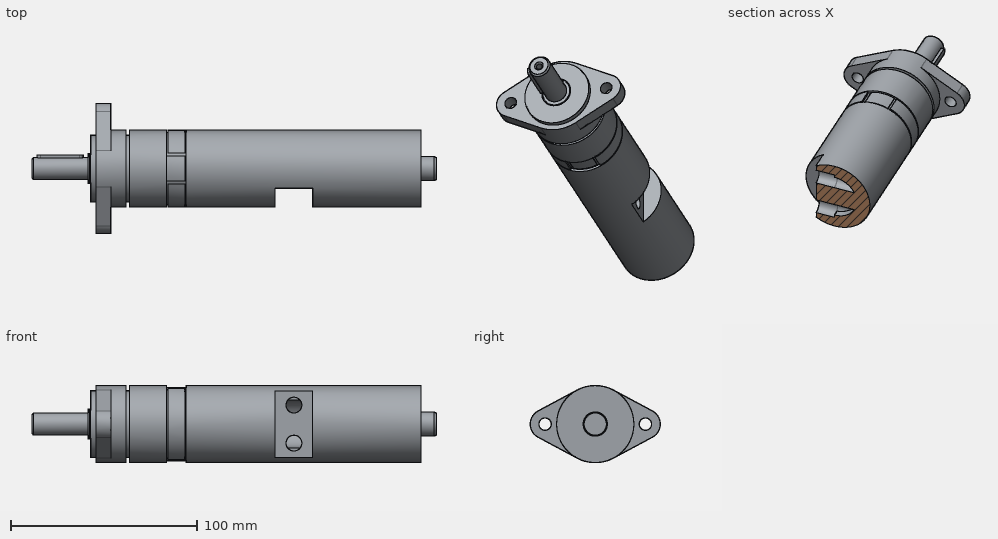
import cadquery as cq
import math

total_length = 217.5
housing_diameter = 41.5
housing_radius = housing_diameter / 2
housing_end = 209.2
cutter_margin = 2.2

shaft_diameter = 12.0
shaft_chamfer = 0.9
collar_start = 30.2
collar_length = 0.7
collar_diameter = 16.0
neck_diameter = 15.0

centre_hole_diameter = 3.3
centre_hole_depth = 10.0
countersink_diameter = 4.8
drill_point_angle = 118.0
countersink_angle = 90.0

key_start = 2.6
key_length = 25.0
key_width = 4.0
key_top = 7.5
key_bottom = 3.3

pilot_start = 31.5
pilot_diameter = 36.0
flange_start = 34.4
flange_thickness = 8.0
ear_radius = 8.0
ear_offset = 27.0
mounting_hole_diameter = 6.5

groove_start = 50.7
groove_width = 1.7
groove_diameter = 36.0

ring_start = 72.5
ring_width = 10.5
ring_gap = 0.7
ring_floor_diameter = 39.0
tab_diameter = 39.5
tab_width = 13.5
tab_slot_width = 16.5

flat_start = 130.7
flat_length = 20.2
flat_offset = 10.7
port_diameter = 8.5
port_spacing = 20.5
hollow_diameter = 25.7

rear_shaft_diameter = 13.0
rear_tip_diameter = 12.0
rear_taper_length = 1.3


def cylinder(start, length, diameter):
    """Cylinder along X on the common axis."""
    return cq.Workplane("YZ", origin=(start, 0, 0)).circle(diameter / 2).extrude(length)


def cone(start, diameter, included_angle):
    """Cone along X with its base at start, closing towards +X."""
    radius = diameter / 2
    height = radius / math.tan(math.radians(included_angle / 2))
    triangle = [(start, 0), (start, radius), (start + height, 0)]
    profile = cq.Workplane("XY").polyline(triangle).close()
    return profile.revolve(360, (0, 0, 0), (1, 0, 0))


def ring_cut(start, width, floor_diameter):
    """Annular cutter that turns the housing down to floor_diameter."""
    outer = cylinder(start, width, housing_diameter + cutter_margin)
    return outer.cut(cylinder(start, width, floor_diameter))


def make_flange_ear(side):
    """Flange ear towards side * Y, its straight edges tangent to the housing."""
    slope_sin = (housing_radius - ear_radius) / ear_offset
    slope_cos = math.sqrt(1 - slope_sin**2)
    root_y = side * housing_radius * slope_sin
    root_z = housing_radius * slope_cos
    arc_y = side * (ear_offset + ear_radius * slope_sin)
    arc_z = ear_radius * slope_cos
    ear = (
        cq.Workplane("YZ", origin=(flange_start, 0, 0))
        .moveTo(root_y, root_z)
        .lineTo(arc_y, arc_z)
        .threePointArc((side * (ear_offset + ear_radius), 0), (arc_y, -arc_z))
        .lineTo(root_y, -root_z)
        .close()
        .extrude(flange_thickness)
    )
    hole = cylinder(flange_start, flange_thickness, mounting_hole_diameter)
    return ear.cut(hole.translate((0, side * ear_offset, 0)))


def make_output_shaft():
    """Chamfered shaft with key, centre hole and collar."""
    shaft = cylinder(0, pilot_start, shaft_diameter).faces("<X").chamfer(shaft_chamfer)
    shaft = shaft.union(cylinder(collar_start, collar_length, collar_diameter))
    shaft = shaft.union(cylinder(collar_start, pilot_start - collar_start, neck_diameter))

    key_centre = key_start + key_length / 2
    key = (
        cq.Workplane("XZ", origin=(key_centre, key_top, 0))
        .slot2D(key_length, key_width)
        .extrude(key_top - key_bottom)
    )
    shaft = shaft.union(key)

    shaft = shaft.cut(cylinder(0, centre_hole_depth, centre_hole_diameter))
    shaft = shaft.cut(cone(centre_hole_depth, centre_hole_diameter, drill_point_angle))
    return shaft.cut(cone(0, countersink_diameter, countersink_angle))


def make_housing():
    """Stepped cylinder from the pilot to the rear face, with its ring groove."""
    housing = cylinder(flange_start, housing_end - flange_start, housing_diameter)
    housing = housing.union(cylinder(pilot_start, flange_start - pilot_start, pilot_diameter))
    return housing.cut(ring_cut(groove_start, groove_width, groove_diameter))


def cut_clamping_ring(housing):
    """Separate the ring by side grooves and set a tab into it at +Z and -Z."""
    right_gap_start = ring_start + ring_width - ring_gap
    for gap_start in (ring_start, right_gap_start):
        housing = housing.cut(ring_cut(gap_start, ring_gap, ring_floor_diameter))

    slots = cq.Workplane("XY").box(ring_width, tab_slot_width, housing_diameter + cutter_margin)
    slots = slots.translate((ring_start + ring_width / 2, 0, 0))
    housing = housing.cut(slots.intersect(ring_cut(ring_start, ring_width, ring_floor_diameter)))

    tab_length = ring_width - ring_gap
    tabs = cq.Workplane("XY").box(tab_length, tab_width, housing_diameter)
    tabs = tabs.translate((ring_start + tab_length / 2, 0, 0))
    return housing.union(tabs.intersect(cylinder(ring_start, tab_length, tab_diameter)))


def cut_port_flat(housing):
    """Mill the flat and bore two ports to the mid-plane, ending in a round-backed hollow."""
    flat_centre = flat_start + flat_length / 2
    flat = cq.Workplane("XY").box(flat_length, housing_radius, housing_diameter)
    housing = housing.cut(flat.translate((flat_centre, -flat_offset - housing_radius / 2, 0)))

    hollow = cylinder(flat_start, flat_length, hollow_diameter)
    for port_z in (-port_spacing / 2, port_spacing / 2):
        port_plane = cq.Workplane("XZ", origin=(flat_centre, 0, port_z))
        bore = port_plane.circle(port_diameter / 2).extrude(flat_offset)
        deep_bore = port_plane.circle(port_diameter / 2).extrude(-housing_radius)
        housing = housing.cut(bore).cut(deep_bore.intersect(hollow))
    return housing


def make_rear_shaft():
    """Short rear shaft with a slender taper at its tip."""
    rear_shaft = cylinder(housing_end, total_length - housing_end, rear_shaft_diameter)
    radial_step = (rear_shaft_diameter - rear_tip_diameter) / 2
    tip_edge = rear_shaft.faces(">X").edges()
    return tip_edge.chamfer(rear_taper_length, radial_step)


result = cut_port_flat(cut_clamping_ring(make_housing()))
for ear_side in (-1, 1):
    result = result.union(make_flange_ear(ear_side))
result = result.union(make_output_shaft()).union(make_rear_shaft())